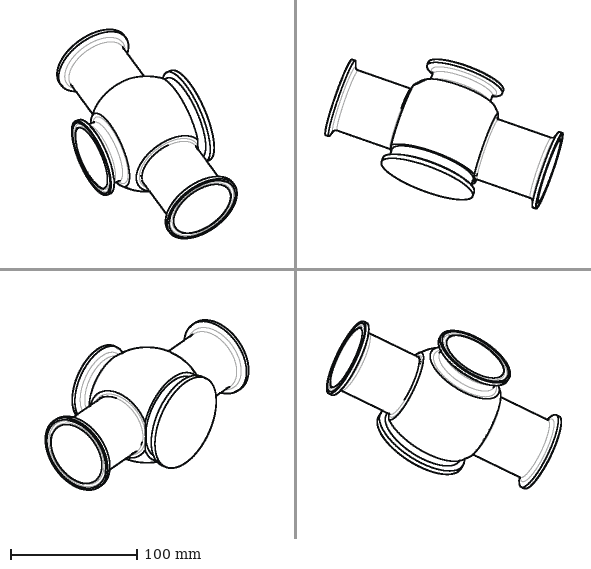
import cadquery as cq
import math

BODY_RADIUS = 46.0
SIDE_FLAT = 35.2
FRONT_FLAT = 33.6
REAR_FLAT = 26.5

SIDE_FACE = 177.8 / 2
FRONT_FACE = 50.7
REAR_FACE = 39.5

TUBE_RADIUS = 50.9 / 2
FERRULE_RADIUS = 63.8 / 2
RIM_THICKNESS = 2.8
NECK_FILLET = 3.2
SIDE_ROOT_FILLET = 1.6
FRONT_ROOT_FILLET = 3.2

REAR_TUBE_RADIUS = 68.8 / 2
REAR_FERRULE_RADIUS = 77.5 / 2
REAR_RIM_THICKNESS = 3.7

CLAMP_ANGLE = math.radians(20)

GROOVE_RADIUS = 28.1
GROOVE_HALF_WIDTH = 2.1
GROOVE_DEPTH = 1.5
GROOVE_WALL_HALF_WIDTH = 1.0
GROOVE_WALL_DEPTH = 0.9
GROOVE_EDGE_SAG = 0.2


def trimmed_body():
    """Sphere bounded by the flats where the ports join."""
    block = cq.Workplane("XY").box(
        2 * SIDE_FLAT, FRONT_FLAT + REAR_FLAT, 2 * BODY_RADIUS
    ).translate((0, (REAR_FLAT - FRONT_FLAT) / 2, 0))
    return cq.Workplane("XY").sphere(BODY_RADIUS).intersect(block)


def gasket_groove(face):
    """Ring cutter for the groove, sunk along Z from the port face."""
    middle = GROOVE_RADIUS
    wall_z = face - GROOVE_WALL_DEPTH
    edge_middle = (GROOVE_HALF_WIDTH + GROOVE_WALL_HALF_WIDTH) / 2
    edge_z = face - GROOVE_WALL_DEPTH / 2 + GROOVE_EDGE_SAG
    profile = (
        cq.Workplane("XZ")
        .moveTo(middle - GROOVE_HALF_WIDTH, face)
        .threePointArc((middle - edge_middle, edge_z), (middle - GROOVE_WALL_HALF_WIDTH, wall_z))
        .threePointArc((middle, face - GROOVE_DEPTH), (middle + GROOVE_WALL_HALF_WIDTH, wall_z))
        .threePointArc((middle + edge_middle, edge_z), (middle + GROOVE_HALF_WIDTH, face))
        .close()
    )
    return profile.revolve(360, (0, 0, 0), (0, 1, 0))


def clamp_port(flat, face, root_fillet):
    """Tube along +Z from the body centre, with root fillet, ferrule and groove."""
    rim_back = face - RIM_THICKNESS
    cone_end_radius = TUBE_RADIUS + NECK_FILLET * (1 - math.sin(CLAMP_ANGLE))
    cone_end_z = rim_back - (FERRULE_RADIUS - cone_end_radius) * math.tan(CLAMP_ANGLE)
    neck_z = cone_end_z - NECK_FILLET * math.cos(CLAMP_ANGLE)
    neck_mid_angle = (math.pi / 2 + CLAMP_ANGLE) / 2
    neck_middle = (
        TUBE_RADIUS + NECK_FILLET * (1 - math.sin(neck_mid_angle)),
        neck_z + NECK_FILLET * math.cos(neck_mid_angle),
    )
    root_inset = root_fillet * (1 - math.sqrt(0.5))
    profile = (
        cq.Workplane("XZ")
        .lineTo(TUBE_RADIUS, 0)
        .lineTo(TUBE_RADIUS + root_fillet, flat)
        .threePointArc(
            (TUBE_RADIUS + root_inset, flat + root_inset), (TUBE_RADIUS, flat + root_fillet)
        )
        .lineTo(TUBE_RADIUS, neck_z)
        .threePointArc(neck_middle, (cone_end_radius, cone_end_z))
        .lineTo(FERRULE_RADIUS, rim_back)
        .lineTo(FERRULE_RADIUS, face)
        .lineTo(0, face)
        .close()
    )
    port = profile.revolve(360, (0, 0, 0), (0, 1, 0))
    return port.cut(gasket_groove(face))


def rear_port():
    """Wide short port along +Z, with a sloped ferrule back and a plain face."""
    rim_back = REAR_FACE - REAR_RIM_THICKNESS
    cone_z = rim_back - (REAR_FERRULE_RADIUS - REAR_TUBE_RADIUS) * math.tan(CLAMP_ANGLE)
    start_z = REAR_FLAT - 1.8
    profile = cq.Workplane("XZ").polyline([
        (0, start_z),
        (REAR_TUBE_RADIUS, start_z),
        (REAR_TUBE_RADIUS, cone_z),
        (REAR_FERRULE_RADIUS, rim_back),
        (REAR_FERRULE_RADIUS, REAR_FACE),
        (0, REAR_FACE),
    ]).close()
    return profile.revolve(360, (0, 0, 0), (0, 1, 0))


ORIGIN = (0, 0, 0)
X_AXIS = (1, 0, 0)
Y_AXIS = (0, 1, 0)

result = trimmed_body()
for turn in (90, -90):
    side_port = clamp_port(SIDE_FLAT, SIDE_FACE, SIDE_ROOT_FILLET)
    result = result.union(side_port.rotate(ORIGIN, Y_AXIS, turn))
front_port = clamp_port(FRONT_FLAT, FRONT_FACE, FRONT_ROOT_FILLET)
result = result.union(front_port.rotate(ORIGIN, X_AXIS, 90))
result = result.union(rear_port().rotate(ORIGIN, X_AXIS, -90))